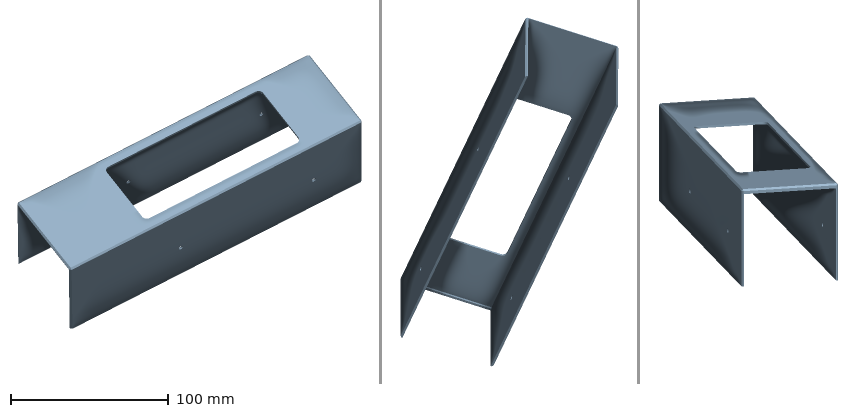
import cadquery as cq

length = 220.0
width = 63.3
height = 63.8
wall = 1.5
edge_break = 1.0
front_taper = 0.7

lip_depth = 1.5

window_width = 48.4
window_length = 117.5
window_center_y = 10.0
window_corner_radius = 3.3

hole_diameter = 3.0
hole_height = 27.5
hole_spacing = 100.0
first_hole_y = -26.6


def channel():
    """Inverted channel standing on Z = 0, with its outer edges chamfered."""
    corner_overhang = front_taper * edge_break / (height - edge_break)
    side_outline = [
        (-length / 2 + front_taper, 0),
        (length / 2, 0),
        (length / 2, height),
        (-length / 2 - corner_overhang, height),
    ]
    block = (
        cq.Workplane("YZ")
        .polyline(side_outline)
        .close()
        .extrude(width / 2, both=True)
    )
    block = block.faces("<Y or >Y or >Z").edges("not <Z").chamfer(edge_break)
    cavity = cq.Workplane("XY").box(
        width - 2 * wall, length, height - wall, centered=(True, True, False)
    )
    return block.cut(cavity)


def lip():
    """Strip between the side walls, under the roof and flush with the +Y end."""
    lip_origin = (0, (length - wall) / 2, height - wall - lip_depth)
    return cq.Workplane("XY", origin=lip_origin).box(
        width - 2 * wall, wall, lip_depth, centered=(True, True, False)
    )


def window():
    """Rounded rectangular cutter reaching through the roof only."""
    return (
        cq.Workplane("XY", origin=(0, window_center_y, height - wall))
        .rect(window_width, window_length)
        .extrude(wall)
        .edges("|Z")
        .fillet(window_corner_radius)
    )


def screw_hole(y):
    """Cylindrical cutter along X through both side walls."""
    return (
        cq.Workplane("YZ", origin=(-width / 2, y, hole_height))
        .circle(hole_diameter / 2)
        .extrude(width)
    )


result = channel().union(lip()).cut(window())
for hole_y in (first_hole_y, first_hole_y + hole_spacing):
    result = result.cut(screw_hole(hole_y))